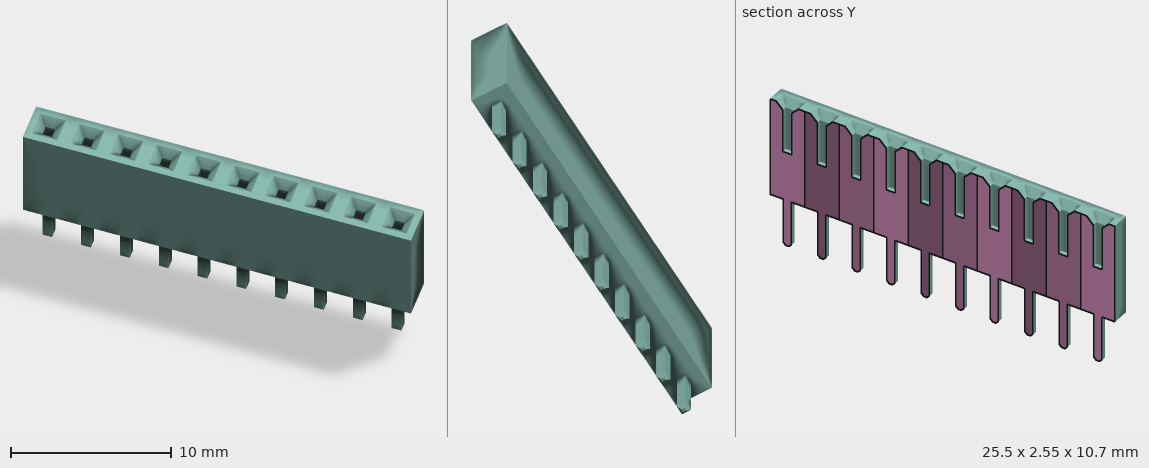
import cadquery as cq

contact_count = 10
pitch = 2.55
overall_height = 10.7

cell_height = 7.26
funnel_mouth = 1.65
hole_side = 0.64
funnel_depth = (funnel_mouth - hole_side) / 2
hole_depth = cell_height / 2

pin_side = hole_side
pin_length = overall_height - cell_height
tip_chamfer = 0.2


def make_block():
    """Plain square cell standing on the XY plane."""
    return cq.Workplane("XY").rect(pitch, pitch).extrude(cell_height)


def make_funnel():
    """Tapered square lead-in, narrowing from the top face to the hole."""
    return (
        cq.Workplane("XY", origin=(0, 0, cell_height))
        .rect(funnel_mouth, funnel_mouth)
        .workplane(offset=-funnel_depth)
        .rect(hole_side, hole_side)
        .loft(ruled=True)
    )


def make_hole():
    """Blind square contact hole, running down from the top face."""
    return (
        cq.Workplane("XY", origin=(0, 0, cell_height))
        .rect(hole_side, hole_side)
        .extrude(-hole_depth)
    )


def make_pin():
    """Square pin hanging below the cell, chamfered around its tip."""
    return (
        cq.Workplane("XY")
        .rect(pin_side, pin_side)
        .extrude(-pin_length)
        .faces("<Z")
        .chamfer(tip_chamfer)
    )


def make_contact_cell():
    """One socket cell in one piece with its pin."""
    return make_block().cut(make_funnel()).cut(make_hole()).union(make_pin())


first_x = -pitch * (contact_count - 1) / 2
contact_cells = []
for index in range(contact_count):
    cell = make_contact_cell().translate((first_x + index * pitch, 0, 0))
    contact_cells.append(cell.val())

result = cq.Compound.makeCompound(contact_cells)